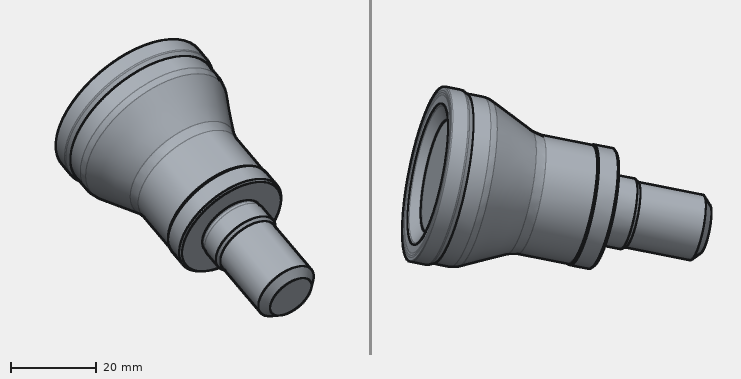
import cadquery as cq
import math

overall_length = 68.0

cap_radius = 42.02 / 2
rim_round = 0.22
land_radius = 20.0
step_outer_radius = 19.5
step_inner_radius = 18.95
face_tilt = math.radians(3)
step_tilt = math.radians(8)
recess_radius = 16.95
recess_lip_radius = 16.45
recess_foot_radius = 13.6
lead_in_tilt = math.radians(30)
recess_tilt = math.radians(31)
floor_edge_radius = 13.4
steep_edge_depth = 0.2
floor_round = 0.2
shoulder_start = 4.15
shoulder_round = 0.9
shoulder_angle = math.radians(25)

head_radius = 40.8 / 2
head_end = 10.57
head_blend = 4.0
flare_angle = math.radians(25)
waist_radius = 28.6 / 2
waist_blend = 6.0
collar_radius = 29.0 / 2
collar_start = 37.5
collar_lead = 0.4
collar_end = 43.0
collar_chamfer = 0.5

stem_neck_radius = 8.3
stem_neck_end = 43.5
stem_band_radius = 17.0 / 2
stem_band_start = 44.35
stem_band_end = 49.05
stem_taper_end = 50.0
stem_radius = 15.75 / 2
stem_chamfer = 2.0

step_outer_x = (land_radius - step_outer_radius) * math.tan(face_tilt)
step_inner_x = step_outer_x + (step_outer_radius - step_inner_radius) * math.tan(step_tilt)
recess_x = step_inner_x + (step_inner_radius - recess_radius) * math.tan(face_tilt)
recess_lip_x = recess_x + (recess_radius - recess_lip_radius) * math.tan(lead_in_tilt)
recess_foot_x = recess_lip_x + (recess_lip_radius - recess_foot_radius) * math.tan(recess_tilt)
floor_edge_x = recess_foot_x + steep_edge_depth
floor_x = floor_edge_x + floor_round
shoulder_end = shoulder_start + (cap_radius - head_radius) / math.tan(shoulder_angle)
flare_end = head_end + (head_radius - waist_radius) / math.tan(flare_angle)


def revolve_about_x(profile):
    return profile.close().revolve(360, (0, 0, 0), (1, 0, 0))


def round_at(solid, x, radius, size):
    """Round the circular edge of the given radius at the given X."""
    reach = 0.01
    box = cq.selectors.BoxSelector(
        (x - reach, -radius - reach, -radius - reach),
        (x + reach, radius + reach, radius + reach),
        boundingbox=True,
    )
    circle = cq.selectors.RadiusNthSelector(-1)
    return solid.newObject([solid.edges(box).edges(circle).val()]).fillet(size)


def make_cap():
    profile = (
        cq.Workplane("XY")
        .moveTo(0, cap_radius)
        .lineTo(0, land_radius)
        .lineTo(step_outer_x, step_outer_radius)
        .lineTo(step_inner_x, step_inner_radius)
        .lineTo(recess_x, recess_radius)
        .lineTo(recess_lip_x, recess_lip_radius)
        .lineTo(recess_foot_x, recess_foot_radius)
        .lineTo(floor_edge_x, floor_edge_radius)
        .radiusArc((floor_x, floor_edge_radius - floor_round), floor_round)
        .lineTo(floor_x, 0)
        .lineTo(shoulder_end, 0)
        .lineTo(shoulder_end, head_radius)
        .lineTo(shoulder_start, cap_radius)
    )
    cap = revolve_about_x(profile)
    cap = round_at(cap, 0, cap_radius, rim_round)
    return round_at(cap, shoulder_start, cap_radius, shoulder_round)


def make_body():
    profile = (
        cq.Workplane("XY")
        .moveTo(shoulder_end, 0)
        .lineTo(shoulder_end, head_radius)
        .lineTo(head_end, head_radius)
        .lineTo(flare_end, waist_radius)
        .lineTo(collar_start, waist_radius)
        .lineTo(collar_start + collar_lead, collar_radius)
        .lineTo(collar_end - collar_chamfer, collar_radius)
        .lineTo(collar_end, collar_radius - collar_chamfer)
        .lineTo(collar_end, stem_neck_radius)
        .lineTo(stem_neck_end, stem_neck_radius)
        .lineTo(stem_band_start, stem_band_radius)
        .lineTo(stem_band_end, stem_band_radius)
        .lineTo(stem_taper_end, stem_radius)
        .lineTo(overall_length - stem_chamfer, stem_radius)
        .lineTo(overall_length, stem_radius - stem_chamfer)
        .lineTo(overall_length, 0)
    )
    body = revolve_about_x(profile)
    body = round_at(body, head_end, head_radius, head_blend)
    return round_at(body, flare_end, waist_radius, waist_blend)


cap = make_cap()
body = make_body()

result = cq.Compound.makeCompound([cap.val(), body.val()])